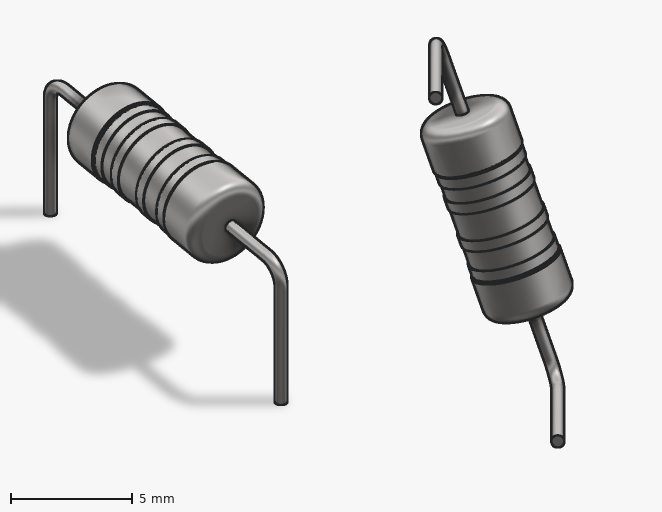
import cadquery as cq

body_length = 9.0
cap_length = 2.0
cap_radius = 1.95
cap_edge_fillet = 0.5
waist_radius = 1.85

band_radius = 1.9
band_width = 0.5
band_offsets = (2.1, 3.25, 5.0, 6.4)

wire_diameter = 0.55
lead_pitch = 16.0
bend_radius = 1.0
overall_height = 8.9

body_start = -body_length / 2
wire_radius = wire_diameter / 2
lead_bottom = cap_radius - overall_height


def cylinder_along_x(start, length, radius):
    return cq.Workplane("YZ").workplane(offset=start).circle(radius).extrude(length)


def make_cap():
    """End cap on the -X side, with its outer rim rounded."""
    cap = cylinder_along_x(body_start, cap_length, cap_radius)
    return cap.faces("<X").edges().fillet(cap_edge_fillet)


def make_lead():
    """Lead on the -X side: straight down, a quarter bend, then inward to the body centre."""
    lead_x = -lead_pitch / 2
    path = (
        cq.Workplane("XZ")
        .moveTo(lead_x, lead_bottom)
        .lineTo(lead_x, -bend_radius)
        .tangentArcPoint((bend_radius, bend_radius))
        .lineTo(0, 0)
    )
    profile = cq.Workplane("XY", origin=(lead_x, 0, lead_bottom)).circle(wire_radius)
    return profile.sweep(path)


def make_body():
    cap = make_cap()
    waist_length = body_length - 2 * cap_length
    body = cylinder_along_x(body_start + cap_length, waist_length, waist_radius)
    body = body.union(cap).union(cap.mirror("YZ"))
    for offset in band_offsets:
        body = body.union(cylinder_along_x(body_start + offset, band_width, band_radius))
    return body


lead = make_lead()
result = make_body().union(lead).union(lead.mirror("YZ"))